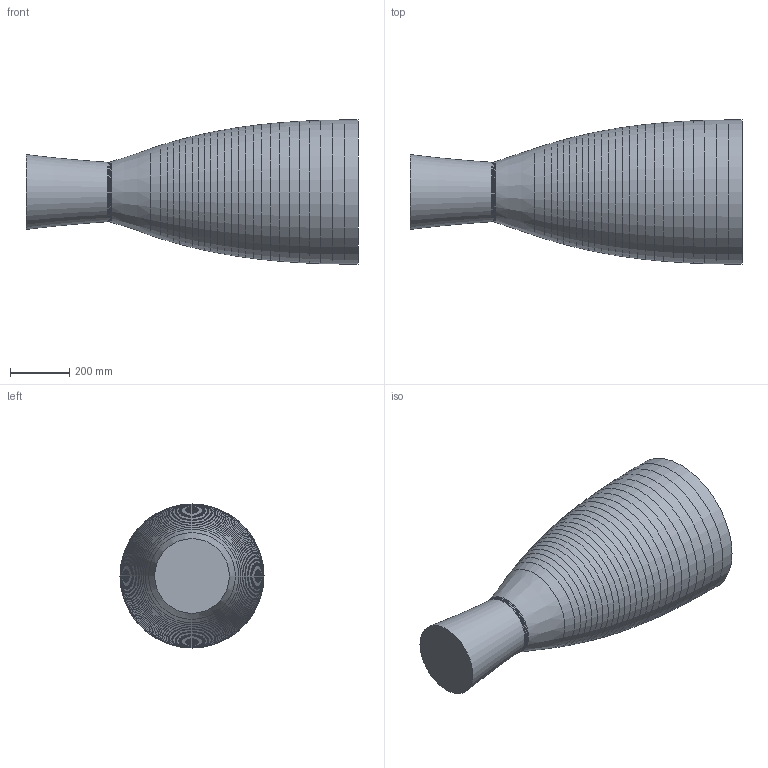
import cadquery as cq
import math

total_length = 1123.7
exit_radius = 487.84 / 2

inlet_radius = 126.5
inlet_bow = 2.2
throat_x = 275.5

throat_arc_radius = 45.0
throat_facets = 7
cone_angle = math.radians(18.5)
throat_exit_x = throat_x + throat_arc_radius * math.sin(cone_angle)

first_ring_x = 420.5
second_ring_x = 455.5
remaining_bands = 24
shortest_pitch = 21.0
shortest_band = 3.6
bell_bands = remaining_bands + 1


def ring_stations():
    """X positions of the rings bounding the bell bands, from the cone to the exit."""
    growth = [(band - shortest_band) ** 2 for band in range(remaining_bands)]
    spare_length = total_length - second_ring_x - remaining_bands * shortest_pitch
    stations = [first_ring_x, second_ring_x]
    for step in growth:
        pitch = shortest_pitch + spare_length * step / sum(growth)
        stations.append(stations[-1] + pitch)
    return stations


def bell_points():
    """Bell contour from the end of the throat arc to the exit rim.

    Each section leans less than the one before it, from the cone angle down to parallel
    with the axis, so the radii are worked out backwards from the exit rim.
    """
    stations = [throat_exit_x] + ring_stations()
    points = [(total_length, exit_radius)]
    for start in reversed(range(len(stations) - 1)):
        lean = cone_angle * (1 - start / bell_bands)
        rise = (stations[start + 1] - stations[start]) * math.tan(lean)
        points.append((stations[start], points[-1][1] - rise))
    return points[::-1]


def throat_points(throat_radius):
    """Throat arc corners between the narrowest section and the start of the bell."""
    points = []
    for facet in range(1, throat_facets):
        turn = cone_angle * facet / throat_facets
        x = throat_x + throat_arc_radius * math.sin(turn)
        radius = throat_radius + throat_arc_radius * (1 - math.cos(turn))
        points.append((x, radius))
    return points


def make_nozzle():
    """Solid of revolution about the X axis."""
    bell = bell_points()
    throat_radius = bell[0][1] - throat_arc_radius * (1 - math.cos(cone_angle))
    inlet_middle = (throat_x / 2, (inlet_radius + throat_radius) / 2 - inlet_bow)

    profile = cq.Workplane("XY").lineTo(0, inlet_radius)
    profile = profile.threePointArc(inlet_middle, (throat_x, throat_radius))
    for point in throat_points(throat_radius) + bell:
        profile = profile.lineTo(*point)
    profile = profile.lineTo(total_length, 0).close()
    return profile.revolve(360, (0, 0, 0), (1, 0, 0))


result = make_nozzle()